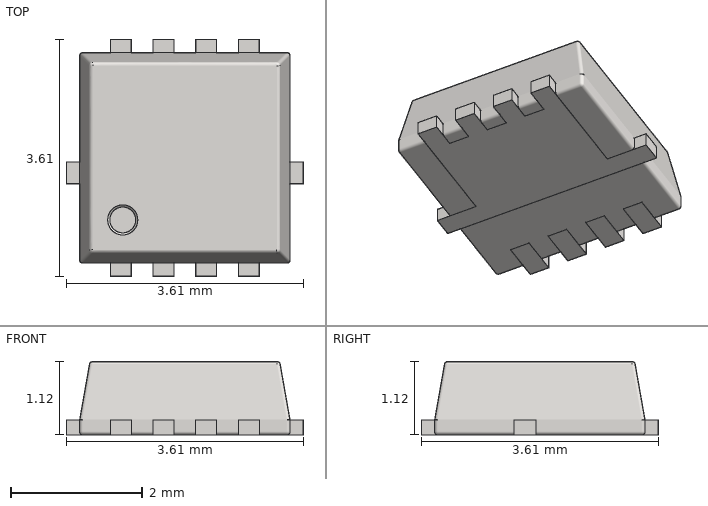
import cadquery as cq
import math

overall_span = 3.61
total_height = 1.12

housing_side = 3.205
band_height = 0.23
taper_angle = 10.0
edge_radius = 0.05

lead_width = 0.32
lead_pitch = 0.65
leads_per_side = 4
lead_embedded_length = 0.435
tab_width = 0.335
tab_y = -0.227
pad_setback = 0.215

mark_offset = 0.945
recess_diameter = 0.46
recess_depth = 0.03
mark_diameter = 0.395
mark_thickness = 0.018

tip = overall_span / 2
housing_half = housing_side / 2
lead_row_centre = (leads_per_side - 1) / 2
lead_positions = [(i - lead_row_centre) * lead_pitch for i in range(leads_per_side)]
pad_half_width = lead_positions[-1] + lead_width / 2
pad_start_y = tab_y - tab_width / 2
pad_end_y = housing_half - pad_setback
recess_floor_z = total_height - recess_depth
mark_bottom_z = recess_floor_z - mark_thickness


def metal_block(x_min, x_max, y_min, y_max):
    """Flat block of lead metal resting on the mounting plane."""
    return cq.Workplane("XY").box(
        x_max - x_min, y_max - y_min, band_height, centered=False
    ).translate((x_min, y_min, 0))


def make_source_lead(x):
    """Separate lead on the -Y side, centred at x."""
    inner_end = -housing_half + lead_embedded_length
    return metal_block(x - lead_width / 2, x + lead_width / 2, -tip, inner_end)


def make_drain_frame():
    """Drain pad in one piece with the +Y leads and the two side tabs."""
    frame = metal_block(-pad_half_width, pad_half_width, pad_start_y, pad_end_y)
    for x in lead_positions:
        frame = frame.union(
            metal_block(x - lead_width / 2, x + lead_width / 2, pad_start_y, tip)
        )
    side_tabs = metal_block(-tip, tip, pad_start_y, pad_start_y + tab_width)
    return frame.union(side_tabs).clean()


def make_pin_one_mark():
    """Thin round disc seated below the recess floor."""
    return (
        cq.Workplane("XY", origin=(-mark_offset, -mark_offset, mark_bottom_z))
        .circle(mark_diameter / 2)
        .extrude(mark_thickness)
    )


def make_mark_recess():
    """Round recess cutter that narrows from the top face to the mark."""
    return (
        cq.Workplane("XY", origin=(-mark_offset, -mark_offset, recess_floor_z))
        .circle(mark_diameter / 2)
        .workplane(offset=recess_depth)
        .circle(recess_diameter / 2)
        .loft()
    )


def make_housing_blank():
    """Rounded square housing before the metal seats and the mark recess."""
    taper_height = total_height - band_height
    top_side = housing_side - 2 * taper_height * math.tan(math.radians(taper_angle))
    band = cq.Workplane("XY").rect(housing_side, housing_side).extrude(band_height)
    tapered = (
        cq.Workplane("XY", origin=(0, 0, band_height))
        .rect(housing_side, housing_side)
        .workplane(offset=taper_height)
        .rect(top_side, top_side)
        .loft(ruled=True)
    )
    blank = band.union(tapered)
    rounded_corners = blank.edges("not #Z").fillet(edge_radius)
    return rounded_corners.faces("<Z or >Z").edges().fillet(edge_radius)


source_leads = [make_source_lead(x) for x in lead_positions]
drain_frame = make_drain_frame()
pin_one_mark = make_pin_one_mark()

housing = make_housing_blank().cut(make_mark_recess())
for seated_body in [*source_leads, drain_frame, pin_one_mark]:
    housing = housing.cut(seated_body)

result = cq.Compound.makeCompound([
    housing.solids().val(),
    *[lead.val() for lead in source_leads],
    drain_frame.solids().val(),
    pin_one_mark.val(),
])